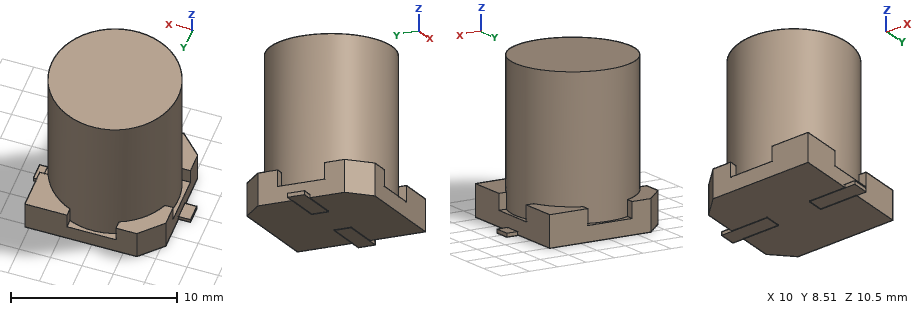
import cadquery as cq

total_height = 10.54
lead_span = 10.01

base_side = 8.51
base_bottom = 0.04
base_height = 2.1
corner_cut = 1.37
notch_width = 3.12
notch_depth = 1.05
base_top = base_bottom + base_height
notch_floor = base_top - notch_depth

can_diameter = 8.07
can_height = total_height - notch_floor

lead_width = 1.14
lead_thickness = 0.25
lead_gap = 3.16
lead_length = (lead_span - lead_gap) / 2
lead_center_x = (lead_span + lead_gap) / 4


def make_can():
    return cq.Workplane("XY").workplane(offset=notch_floor).circle(can_diameter / 2).extrude(can_height)


def make_lead(side):
    """Flat lead on the -X (side = -1) or +X (side = 1) end."""
    return (
        cq.Workplane("XY")
        .center(side * lead_center_x, 0)
        .rect(lead_length, lead_width)
        .extrude(lead_thickness)
    )


def make_base(can, leads):
    base = (
        cq.Workplane("XY")
        .workplane(offset=base_bottom)
        .rect(base_side, base_side)
        .extrude(base_height)
        .edges("|Z and <X")
        .chamfer(corner_cut)
    )

    channels = cq.Workplane("XY").workplane(offset=notch_floor)
    along_x = channels.rect(base_side, notch_width).extrude(notch_depth)
    along_y = channels.rect(notch_width, base_side).extrude(notch_depth)
    base = base.cut(along_x).cut(along_y)

    base = base.cut(can)
    for lead in leads:
        base = base.cut(lead)
    return base


can = make_can()
leads = [make_lead(side) for side in (-1, 1)]
base = make_base(can, leads)

result = cq.Compound.makeCompound([base.val(), can.val(), *[lead.val() for lead in leads]])